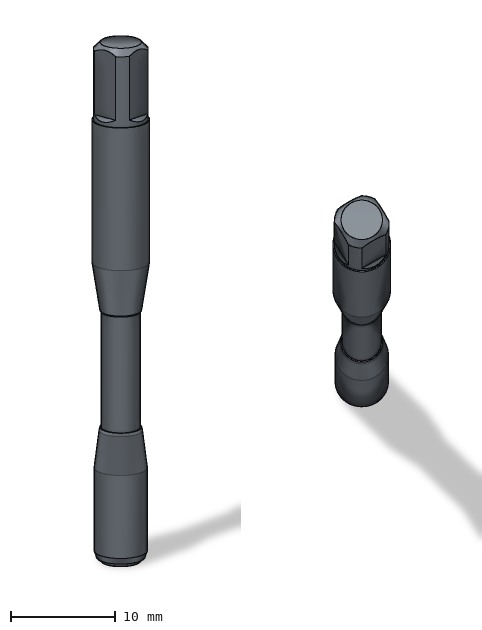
import cadquery as cq

total_height = 52.1
tip_height = 13.45

body_diameter = 5.5
body_bottom = 30.0
body_top = 44.35
neck_diameter = 3.75
taper_bottom = 25.2
taper_end_diameter = 4.0
neck_top = 25.05

drive_diameter = 5.25
drive_flats = 4.55
flat_bottom = 45.05
drive_top_diameter = 3.95

tip_diameter = 5.1
tip_taper_bottom = 9.4
tip_taper_top = 13.15
tip_taper_end_diameter = 4.15
tip_rim_diameter = 4.0
tip_lead_top = 1.05
tip_lead_middle = 0.4
tip_lead_middle_diameter = 4.7
tip_end_diameter = 3.75


def make_flat_cutter():
    """Material outside one flat, with a 45 degree run-out at its lower end."""
    inner = drive_flats / 2
    outer = body_diameter
    return (
        cq.Workplane("XZ")
        .moveTo(inner, total_height)
        .lineTo(inner, flat_bottom)
        .lineTo(outer, flat_bottom - (outer - inner))
        .lineTo(outer, total_height)
        .close()
        .extrude(body_diameter / 2, both=True)
    )


def make_shaft():
    top_chamfer = (drive_diameter - drive_top_diameter) / 2
    shaft = (
        cq.Workplane("XZ")
        .moveTo(0, total_height)
        .lineTo(drive_top_diameter / 2, total_height)
        .lineTo(drive_diameter / 2, total_height - top_chamfer)
        .lineTo(drive_diameter / 2, body_top)
        .lineTo(body_diameter / 2, body_top)
        .lineTo(body_diameter / 2, body_bottom)
        .lineTo(taper_end_diameter / 2, taper_bottom)
        .lineTo(neck_diameter / 2, neck_top)
        .lineTo(neck_diameter / 2, tip_height)
        .lineTo(0, tip_height)
        .close()
        .revolve(360, (0, 0), (0, 1))
    )
    for angle in (0, 90, 180, 270):
        shaft = shaft.cut(make_flat_cutter().rotate((0, 0, 0), (0, 0, 1), angle))
    return shaft


def make_tip():
    return (
        cq.Workplane("XZ")
        .lineTo(tip_end_diameter / 2, 0)
        .lineTo(tip_lead_middle_diameter / 2, tip_lead_middle)
        .lineTo(tip_diameter / 2, tip_lead_top)
        .lineTo(tip_diameter / 2, tip_taper_bottom)
        .lineTo(tip_taper_end_diameter / 2, tip_taper_top)
        .lineTo(tip_rim_diameter / 2, tip_height)
        .lineTo(0, tip_height)
        .close()
        .revolve(360, (0, 0), (0, 1))
    )


shaft = make_shaft()
tip = make_tip()
result = cq.Compound.makeCompound([shaft.val(), tip.val()])